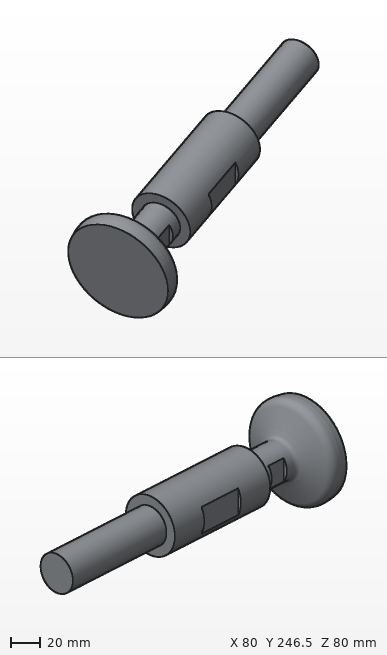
import cadquery as cq
import math

LENGTH = 246.5

SHAFT_RADIUS = 15.0
SHAFT_FLAT_WIDTH = 24.0
SHAFT_FLAT_START = 33.5
SHAFT_FLAT_LENGTH = 15.0

FOOT_DIAMETER = 80.0
FOOT_RADIUS = FOOT_DIAMETER / 2
FOOT_FACE_RADIUS = 39.2
TAPER_HEIGHT = 6.2
RIM_TOP = 9.0
SHOULDER_RADIUS = 7.1
CONE_START_ANGLE = math.radians(22.5)
COLLAR_RADIUS = 20.7
COLLAR_HEIGHT = 21.7
NECK_RADIUS = 17.5
NECK_HEIGHT = 23.2
NECK_TOP = 26.9

SLEEVE_DIAMETER = 45.5
SLEEVE_RADIUS = SLEEVE_DIAMETER / 2
SLEEVE_START = 58.5
SLEEVE_LENGTH = 95.0
SLEEVE_FLAT_WIDTH = 40.7
SLEEVE_FLAT_LENGTH = 36.5


def cut_flats(body, radius, width, start, length):
    """Cut two opposite wrench flats on the -X and +X sides."""
    depth = radius - width / 2
    for side in (-1, 1):
        cutter = cq.Workplane("XY").box(depth, length, 2 * radius)
        body = body.cut(cutter.translate((side * (radius - depth / 2), start + length / 2, 0)))
    return body


def make_spindle():
    """Revolve the foot and shaft as one body, then cut the shaft flats."""
    shoulder_sweep = math.pi / 2 - CONE_START_ANGLE
    shoulder_center = FOOT_RADIUS - SHOULDER_RADIUS

    def shoulder_point(angle):
        return (
            shoulder_center + SHOULDER_RADIUS * math.cos(angle),
            RIM_TOP + SHOULDER_RADIUS * math.sin(angle),
        )

    profile = (
        cq.Workplane("XY")
        .lineTo(FOOT_FACE_RADIUS, 0)
        .lineTo(FOOT_RADIUS, TAPER_HEIGHT)
        .lineTo(FOOT_RADIUS, RIM_TOP)
        .threePointArc(shoulder_point(shoulder_sweep / 2), shoulder_point(shoulder_sweep))
        .lineTo(COLLAR_RADIUS, COLLAR_HEIGHT)
        .lineTo(NECK_RADIUS, NECK_HEIGHT)
    )
    rise = NECK_TOP - NECK_HEIGHT
    run = NECK_RADIUS - SHAFT_RADIUS
    neck_fillet = (rise**2 + run**2) / (2 * run)
    half_sweep = math.asin(rise / neck_fillet) / 2
    fillet_middle = (
        SHAFT_RADIUS + neck_fillet * (1 - math.cos(half_sweep)),
        NECK_TOP - neck_fillet * math.sin(half_sweep),
    )
    spindle = (
        profile.threePointArc(fillet_middle, (SHAFT_RADIUS, NECK_TOP))
        .lineTo(SHAFT_RADIUS, LENGTH)
        .lineTo(0, LENGTH)
        .close()
        .revolve(360, (0, 0, 0), (0, 1, 0))
    )
    return cut_flats(spindle, SHAFT_RADIUS, SHAFT_FLAT_WIDTH, SHAFT_FLAT_START, SHAFT_FLAT_LENGTH)


def make_sleeve():
    """Tube fitting closely around the shaft, with flats at mid-length."""
    sleeve = (
        cq.Workplane("XZ", origin=(0, SLEEVE_START, 0))
        .circle(SLEEVE_RADIUS)
        .circle(SHAFT_RADIUS)
        .extrude(-SLEEVE_LENGTH)
    )
    flat_start = SLEEVE_START + (SLEEVE_LENGTH - SLEEVE_FLAT_LENGTH) / 2
    return cut_flats(sleeve, SLEEVE_RADIUS, SLEEVE_FLAT_WIDTH, flat_start, SLEEVE_FLAT_LENGTH)


spindle = make_spindle()
sleeve = make_sleeve()
result = cq.Compound.makeCompound([spindle.solids().val(), sleeve.solids().val()])